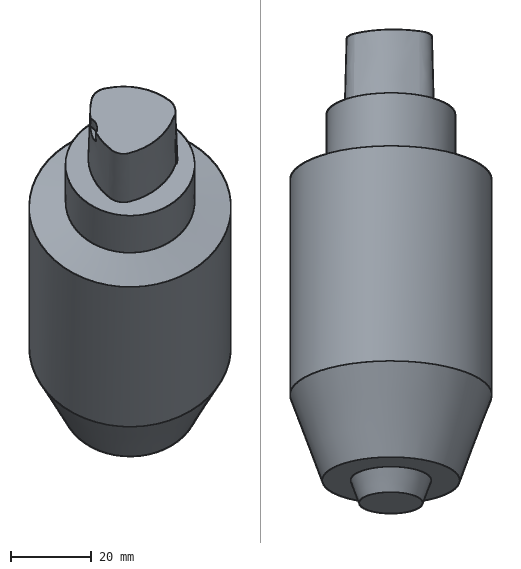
import cadquery as cq
import math

total_height = 121.0
nose_height = 5.9
lower_cone_top = 28.3
body_top = 84.8
collar_base = 87.0
shank_base = 102.0

nose_tip_diameter = 15.7
nose_base_diameter = 20.0
lower_cone_diameter = 34.0
body_diameter = 50.0
collar_diameter = 32.0

lobe_offset = 6.3
lobe_radius = 5.7
side_radius = 16.3
shank_taper = math.degrees(math.atan(1 / 40))

notch_radius = 3.6
notch_rim_depth = 3.4
notch_tip_angle = 100
notch_wall_y = -8.6


def make_turned_body():
    """Nose, lower cone, cylinder, shoulder cone and collar."""
    profile = [
        (0, 0),
        (nose_tip_diameter / 2, 0),
        (nose_base_diameter / 2, nose_height),
        (lower_cone_diameter / 2, nose_height),
        (body_diameter / 2, lower_cone_top),
        (body_diameter / 2, body_top),
        (collar_diameter / 2, collar_base),
        (collar_diameter / 2, shank_base),
        (0, shank_base),
    ]
    return cq.Workplane("XZ").polyline(profile).close().revolve(360, (0, 0), (0, 1))


def polar(radius, angle):
    """XY point at the given distance and angle in degrees."""
    return radius * math.cos(math.radians(angle)), radius * math.sin(math.radians(angle))


def arc_point(center, radius, angle):
    """XY point on a circle about the given center."""
    dx, dy = polar(radius, angle)
    return center[0] + dx, center[1] + dy


def make_shank():
    """Tapered three-lobed shank with one lobe pointing to +Y."""
    section = cq.Workplane("XY", origin=(0, 0, shank_base))
    half_arc = 30
    first_lobe = 90
    section = section.moveTo(*arc_point(polar(lobe_offset, first_lobe), lobe_radius, first_lobe - half_arc))
    for lobe_angle in (90, 210, 330):
        lobe_center = polar(lobe_offset, lobe_angle)
        lobe_end = lobe_angle + half_arc
        section = section.threePointArc(
            arc_point(lobe_center, lobe_radius, lobe_angle),
            arc_point(lobe_center, lobe_radius, lobe_end),
        )
        side_angle = lobe_angle + 2 * half_arc
        side_center = polar(lobe_offset, side_angle + 180)
        section = section.threePointArc(
            arc_point(side_center, side_radius, side_angle),
            arc_point(side_center, side_radius, side_angle + half_arc),
        )
    return section.close().extrude(total_height - shank_base, taper=shank_taper)


def make_notch():
    """Vertical drill with a conical tip, reaching into the -Y side of the shank."""
    rim_z = total_height - notch_rim_depth
    tip_z = rim_z - notch_radius / math.tan(math.radians(notch_tip_angle / 2))
    drill_profile = [
        (0, total_height),
        (notch_radius, total_height),
        (notch_radius, rim_z),
        (0, tip_z),
    ]
    drill = cq.Workplane("XZ").polyline(drill_profile).close().revolve(360, (0, 0), (0, 1))
    return drill.translate((0, notch_wall_y - notch_radius, 0))


result = make_turned_body().union(make_shank().cut(make_notch()))